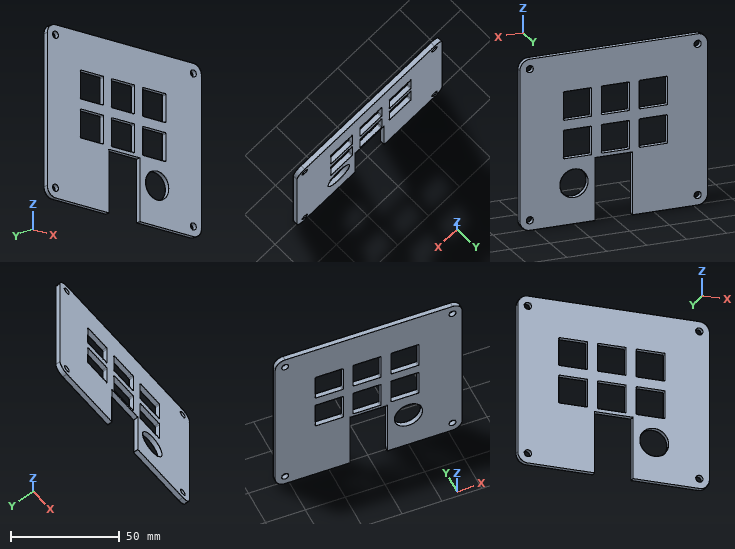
import cadquery as cq

width = 94.1
height = 84.6
thickness = 2.5
corner_radius = 5.0

screw_hole_diameter = 3.4
screw_spacing_x = width - 2 * corner_radius
screw_spacing_z = height - 2 * corner_radius

window_size = 14.0
window_corner_radius = 0.5
window_pitch = 19.0
window_columns = 3
window_rows = 2
window_grid_x = -0.8
window_grid_z = 7.1

round_opening_diameter = window_size
round_opening_x = 19.95
round_opening_z = -22.3

notch_width = 18.7
notch_depth = 31.1


def centred_block(size_x, size_z):
    """Block through the plate thickness, centred on the origin."""
    return cq.Workplane("XY").box(size_x, thickness, size_z)


def face_plane(x=0, z=0):
    """Sketch plane in the middle of the thickness, centred at (x, z)."""
    return cq.Workplane("XZ", origin=(x, 0, z))


def round_cutters(sketch, diameter):
    """Cylinders through the plate at the points of a sketch."""
    return sketch.circle(diameter / 2).extrude(thickness / 2, both=True)


plate = centred_block(width, height).edges("|Y").fillet(corner_radius)

screw_points = face_plane().rarray(screw_spacing_x, screw_spacing_z, 2, 2)
screw_holes = round_cutters(screw_points, screw_hole_diameter)

round_opening = round_cutters(face_plane(round_opening_x, round_opening_z), round_opening_diameter)

window = centred_block(window_size, window_size).edges("|Y").fillet(window_corner_radius)
notch_centre_z = (notch_depth - height) / 2
notch = centred_block(notch_width, notch_depth).translate((0, 0, notch_centre_z))

result = plate.cut(screw_holes).cut(round_opening).cut(notch)

for column in range(window_columns):
    for row in range(window_rows):
        window_x = window_grid_x + (column - (window_columns - 1) / 2) * window_pitch
        window_z = window_grid_z + (row - (window_rows - 1) / 2) * window_pitch
        result = result.cut(window.translate((window_x, 0, window_z)))